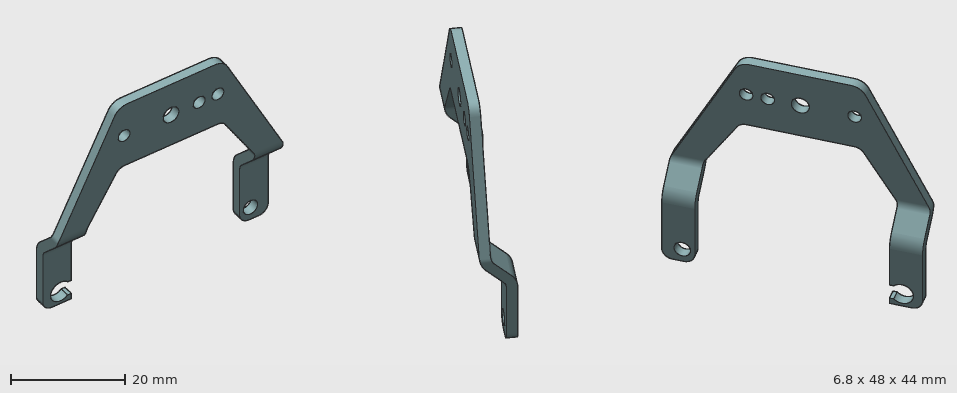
import cadquery as cq
import math

span = 48.0
height = 44.0
depth = 6.8

thickness = 2.0
bend_angle = math.radians(45)
bend_inner_radius = 2.0
bend_outer_radius = bend_inner_radius + thickness
lower_bend_start = 12.55

leg_width = 6.1
crossbar_height = 13.9
outer_top_half_width = 11.2
inner_top_half_width = 11.05
outer_knee_height = 18.95
inner_knee_height = 19.3
top_corner_radius = 3.0
small_corner_radius = 2.0

crossbar_hole_drop = 7.0
small_hole_diameter = 2.5
small_hole_positions = [10.0, 6.0, -10.0]
centre_hole_diameter = 3.3
foot_hole_offset = 20.2
foot_hole_height = 2.75
foot_hole_diameter = 3.0
hook_diameter = 4.2
hook_mouth_width = 3.0

half_span = span / 2
inner_half_span = half_span - leg_width
crossbar_hole_height = height - crossbar_hole_drop


def bent_sheet():
    """Z-shaped sheet section in XZ, extruded across the whole span."""
    sine = math.sin(bend_angle)
    cosine = math.cos(bend_angle)
    offset = depth - thickness
    radii_sum = bend_inner_radius + bend_outer_radius
    ramp_length = (offset - radii_sum * (1 - cosine)) / sine
    upper_bend_end = lower_bend_start + radii_sum * sine + ramp_length * cosine
    lower_centre_x = bend_outer_radius
    upper_centre_x = offset - bend_inner_radius

    def lower_point(radius, angle):
        return (
            lower_centre_x - radius * math.cos(angle),
            lower_bend_start + radius * math.sin(angle),
        )

    def upper_point(radius, angle):
        return (
            upper_centre_x + radius * math.cos(angle),
            upper_bend_end - radius * math.sin(angle),
        )

    half_angle = bend_angle / 2
    section = (
        cq.Workplane("XZ")
        .moveTo(0, 0)
        .lineTo(0, lower_bend_start)
        .threePointArc(
            lower_point(bend_outer_radius, half_angle), lower_point(bend_outer_radius, bend_angle)
        )
        .lineTo(*upper_point(bend_inner_radius, bend_angle))
        .threePointArc(
            upper_point(bend_inner_radius, half_angle), upper_point(bend_inner_radius, 0)
        )
        .lineTo(offset, height)
        .lineTo(depth, height)
        .lineTo(depth, upper_bend_end)
        .threePointArc(
            upper_point(bend_outer_radius, half_angle), upper_point(bend_outer_radius, bend_angle)
        )
        .lineTo(*lower_point(bend_inner_radius, bend_angle))
        .threePointArc(
            lower_point(bend_inner_radius, half_angle), lower_point(bend_inner_radius, 0)
        )
        .lineTo(thickness, 0)
        .close()
    )
    return section.extrude(half_span, both=True)


def round_edges(body, corners, radius):
    """Round the X-directed edges through the given (y, z) corners."""
    for y, z in corners:
        edge = cq.selectors.NearestToPointSelector((depth / 2, y, z))
        body = body.edges(edge).fillet(radius)
    return body


def bracket_outline():
    """Arch with two legs, extruded through the full depth along X."""
    crossbar_bottom = height - crossbar_height
    right_side = [
        (outer_top_half_width, height),
        (half_span, outer_knee_height),
        (half_span, 0),
        (inner_half_span, 0),
        (inner_half_span, inner_knee_height),
        (inner_top_half_width, crossbar_bottom),
    ]
    left_side = [(-y, z) for y, z in reversed(right_side)]
    body = cq.Workplane("YZ").polyline(right_side + left_side).close().extrude(depth)

    top_corners = [(side * outer_top_half_width, height) for side in (1, -1)]
    small_corners = [(inner_half_span, 0)]
    for side in (1, -1):
        small_corners += [
            (side * half_span, outer_knee_height),
            (side * half_span, 0),
            (side * inner_half_span, inner_knee_height),
            (side * inner_top_half_width, crossbar_bottom),
        ]
    body = round_edges(body, top_corners, top_corner_radius)
    return round_edges(body, small_corners, small_corner_radius)


def through_hole(y, z, diameter):
    return cq.Workplane("YZ").center(y, z).circle(diameter / 2).extrude(depth)


def hook_opening():
    """Round seat in the -Y foot, open towards the middle of the bracket."""
    mouth_length = foot_hole_offset - inner_half_span
    mouth = (
        cq.Workplane("YZ")
        .center(-foot_hole_offset + mouth_length / 2, foot_hole_height)
        .rect(mouth_length, hook_mouth_width)
        .extrude(depth)
    )
    return through_hole(-foot_hole_offset, foot_hole_height, hook_diameter).union(mouth)


result = bent_sheet().intersect(bracket_outline())
for hole_y in small_hole_positions:
    result = result.cut(through_hole(hole_y, crossbar_hole_height, small_hole_diameter))
result = result.cut(through_hole(0, crossbar_hole_height, centre_hole_diameter))
result = result.cut(through_hole(foot_hole_offset, foot_hole_height, foot_hole_diameter))
result = result.cut(hook_opening())